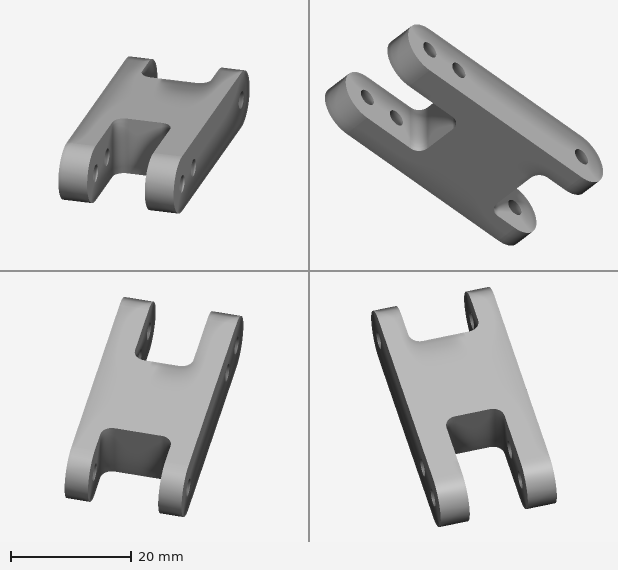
import cadquery as cq

length = 45.0
width = 20.0
height = 10.0
end_radius = height / 2

front_slot_width = 10.0
front_slot_depth = 17.0
rear_slot_width = 12.0
rear_slot_depth = 11.0
slot_corner_radius = 2.0

hole_diameter = 3.0
front_y = -length / 2
rear_y = length / 2
inner_hole_from_front = 11.7
hole_positions = [
    front_y + end_radius,
    front_y + inner_hole_from_front,
    rear_y - end_radius,
]


def link_body():
    """Bar with fully rounded ends, extruded across its width."""
    return cq.Workplane("YZ").slot2D(length, height).extrude(width / 2, both=True)


def fork_slot(slot_width, depth, end_y, inner_side):
    """Full-height slot cutter with its two inner corners rounded."""
    return (
        cq.Workplane("XY")
        .center(0, end_y)
        .rect(slot_width, 2 * depth)
        .extrude(height / 2, both=True)
        .faces(inner_side)
        .edges("|Z")
        .fillet(slot_corner_radius)
    )


def pin_holes():
    """Cylinders through the full width at every pin position."""
    return (
        cq.Workplane("YZ")
        .pushPoints([(y, 0) for y in hole_positions])
        .circle(hole_diameter / 2)
        .extrude(width / 2, both=True)
    )


result = (
    link_body()
    .cut(fork_slot(front_slot_width, front_slot_depth, front_y, ">Y"))
    .cut(fork_slot(rear_slot_width, rear_slot_depth, rear_y, "<Y"))
    .cut(pin_holes())
)